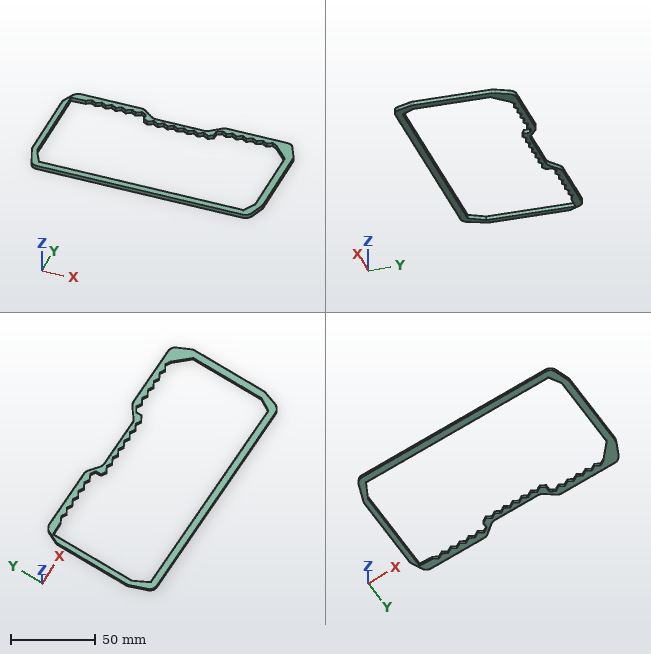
import cadquery as cq
import math

length = 148.0
width = 75.0
thickness = 2.5
half_length = length / 2
half_width = width / 2
corner_radius = 5.0

top_left_bevel_x = -69.1
top_left_bevel_y = 27.4
top_right_bevel_x = 68.4
top_right_bevel_y = 25.6
bottom_left_bevel_x = -68.5
bottom_left_bevel_y = -22.6
bottom_right_bevel_x = 69.5
bottom_right_bevel_y = -24.7

notch_center_x = -0.5
notch_half_top = 25.8
notch_half_floor = 17.2
notch_floor_y = 30.8

hexagon_side = 3.7
tooth_pitch = hexagon_side * math.sqrt(3)
tooth_depth = hexagon_side / 2
side_root_y = 34.3
middle_root_y = 28.7
middle_tooth_count = 7
side_root_count = 6
tooth_wall = middle_tooth_count * tooth_pitch / 2

window_left = -70.5
window_right = 69.4
window_bottom = -33.2
window_top_left_y = 32.1
window_bottom_left_x = -65.3
window_bottom_left_y = -23.2
window_bottom_right_x = 65.0
window_bottom_right_y = -25.5
window_top_right_y = 22.6


def teeth(start_x, start_y, count, step_height):
    """Zigzag of count waves: odd points are offset by step_height, even ones lie on start_y."""
    points = []
    for index in range(2 * count + 1):
        step = step_height if index % 2 else 0
        points.append((start_x + index * tooth_pitch / 2, start_y + step))
    return points


def make_plate():
    outline = [
        (-half_length, bottom_left_bevel_y),
        (-half_length, top_left_bevel_y),
        (top_left_bevel_x, half_width),
        (notch_center_x - notch_half_top, half_width),
        (notch_center_x - notch_half_floor, notch_floor_y),
        (notch_center_x + notch_half_floor, notch_floor_y),
        (notch_center_x + notch_half_top, half_width),
        (top_right_bevel_x, half_width),
        (half_length, top_right_bevel_y),
        (half_length, bottom_right_bevel_y),
        (bottom_right_bevel_x, -half_width),
        (bottom_left_bevel_x, -half_width),
    ]
    plate = cq.Workplane("XY").polyline(outline).close().extrude(thickness)
    return plate.edges("|Z").fillet(corner_radius)


def make_window():
    left_wall_x = notch_center_x - tooth_wall
    right_wall_x = notch_center_x + tooth_wall
    side_tip_y = side_root_y - tooth_depth
    left_teeth_x = left_wall_x - side_root_count * tooth_pitch
    outline = [
        (window_bottom_left_x, window_bottom),
        (window_left, window_bottom_left_y),
        (window_left, window_top_left_y),
        *teeth(left_teeth_x, side_tip_y, side_root_count, tooth_depth),
        *teeth(left_wall_x, middle_root_y, middle_tooth_count, -tooth_depth),
        *teeth(right_wall_x, side_tip_y, side_root_count, tooth_depth),
        (window_right, window_top_right_y),
        (window_right, window_bottom_right_y),
        (window_bottom_right_x, window_bottom),
    ]
    return cq.Workplane("XY").polyline(outline).close().extrude(thickness)


result = make_plate().cut(make_window())